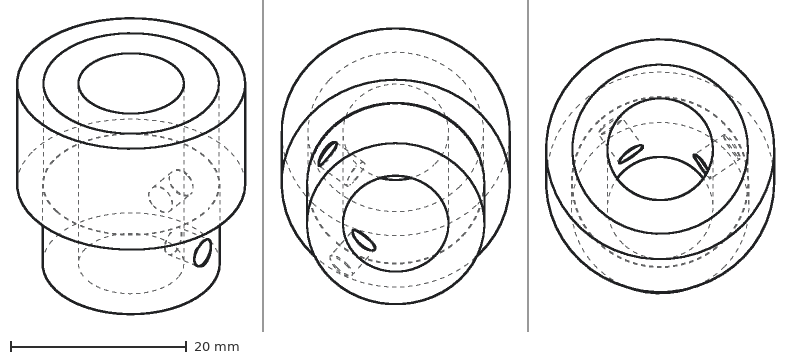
import cadquery as cq

outer_diameter = 26.0
total_height = 25.0
bore_diameter = 12.0

collar_diameter = 20.2
collar_height = 11.0
seat_diameter = 20.0
ring_height = total_height - collar_height

screw_diameter = 3.3
screw_length = 4.0
screw_tip_radius = 5.9
screw_height = collar_height / 2
screw_directions = [cq.Vector(1, 0, 0), cq.Vector(0, 1, 0)]


def radial_cylinder(direction, start_radius, length):
    """Solid cylinder of screw diameter, running outwards from start_radius."""
    start = cq.Vector(0, 0, screw_height) + direction * start_radius
    return cq.Solid.makeCylinder(screw_diameter / 2, length, start, direction)


def make_ring():
    """Plain ring around the seat, resting on the collar."""
    return (
        cq.Workplane("XY", origin=(0, 0, collar_height))
        .circle(outer_diameter / 2)
        .circle(seat_diameter / 2)
        .extrude(ring_height)
    )


def make_hub():
    """Stepped hub with a through bore and two radial screw holes from the bore outwards."""
    collar = cq.Workplane("XY").circle(collar_diameter / 2).extrude(collar_height)
    seat = cq.Workplane("XY").circle(seat_diameter / 2).extrude(total_height)
    bore = cq.Workplane("XY").circle(bore_diameter / 2).extrude(total_height)
    hub = collar.union(seat).cut(bore)
    for direction in screw_directions:
        hub = hub.cut(cq.Workplane(radial_cylinder(direction, 0, collar_diameter / 2)))
    return hub.solids()


def make_set_screw(direction):
    """Flat-ended set screw, its outer end sunk below the collar surface."""
    return radial_cylinder(direction, screw_tip_radius, screw_length)


ring = make_ring()
hub = make_hub()
set_screws = [make_set_screw(direction) for direction in screw_directions]

result = cq.Compound.makeCompound([ring.val(), hub.val(), *set_screws])